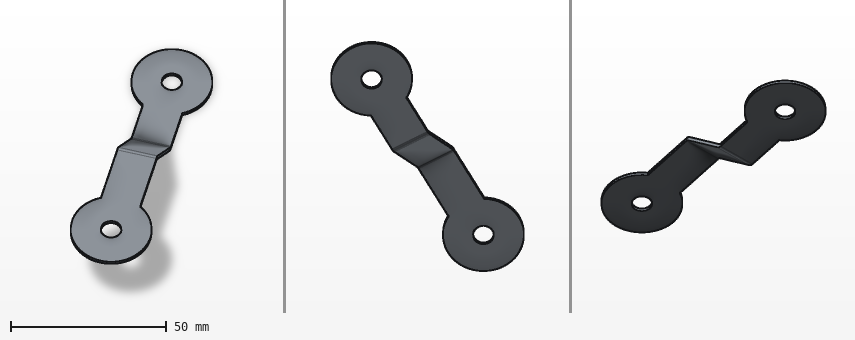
import cadquery as cq
import math

length = 99.7
height = 17.4
disc_diameter = 26.0
hole_diameter = 6.6
strip_width = 13.1
thickness = 1.2
bend_angle = 45.0
inner_bend_radius = 1.0
upper_bend_y = -5.7

disc_center_y = (length - disc_diameter) / 2
outer_bend_radius = inner_bend_radius + thickness
step = height - thickness
angle = math.radians(bend_angle)
bend_run = (inner_bend_radius + outer_bend_radius) * math.sin(angle)
bend_drop = (inner_bend_radius + outer_bend_radius) * (1 - math.cos(angle))
slope_drop = step - bend_drop
slope_run = slope_drop / math.tan(angle)
lower_bend_y = upper_bend_y + bend_run + slope_run
upper_center_z = height - outer_bend_radius
lower_center_z = outer_bend_radius


def on_upper_bend(radius, turn):
    """Point (y, z) on the upper bend after turning down from the upper flat."""
    return upper_bend_y + radius * math.sin(turn), upper_center_z + radius * math.cos(turn)


def on_lower_bend(radius, turn):
    """Point (y, z) on the lower bend, turning back up from the lower flat."""
    return lower_bend_y - radius * math.sin(turn), lower_center_z - radius * math.cos(turn)


def make_strip():
    """Z-shaped strip of constant thickness running between the disc centres."""
    inner, outer = inner_bend_radius, outer_bend_radius
    return (
        cq.Workplane("YZ")
        .moveTo(-disc_center_y, height)
        .lineTo(*on_upper_bend(outer, 0))
        .threePointArc(on_upper_bend(outer, angle / 2), on_upper_bend(outer, angle))
        .lineTo(*on_lower_bend(inner, angle))
        .threePointArc(on_lower_bend(inner, angle / 2), on_lower_bend(inner, 0))
        .lineTo(disc_center_y, thickness)
        .lineTo(disc_center_y, 0)
        .lineTo(*on_lower_bend(outer, 0))
        .threePointArc(on_lower_bend(outer, angle / 2), on_lower_bend(outer, angle))
        .lineTo(*on_upper_bend(inner, angle))
        .threePointArc(on_upper_bend(inner, angle / 2), on_upper_bend(inner, 0))
        .lineTo(-disc_center_y, step)
        .close()
        .extrude(strip_width / 2, both=True)
    )


def make_cylinder(diameter, y, bottom_z):
    """Upright cylinder of sheet thickness, centred on the strip."""
    return (
        cq.Workplane("XY", origin=(0, y, bottom_z))
        .circle(diameter / 2)
        .extrude(thickness)
    )


result = make_strip()
for end_y, end_z in ((-disc_center_y, step), (disc_center_y, 0)):
    result = result.union(make_cylinder(disc_diameter, end_y, end_z))
    result = result.cut(make_cylinder(hole_diameter, end_y, end_z))